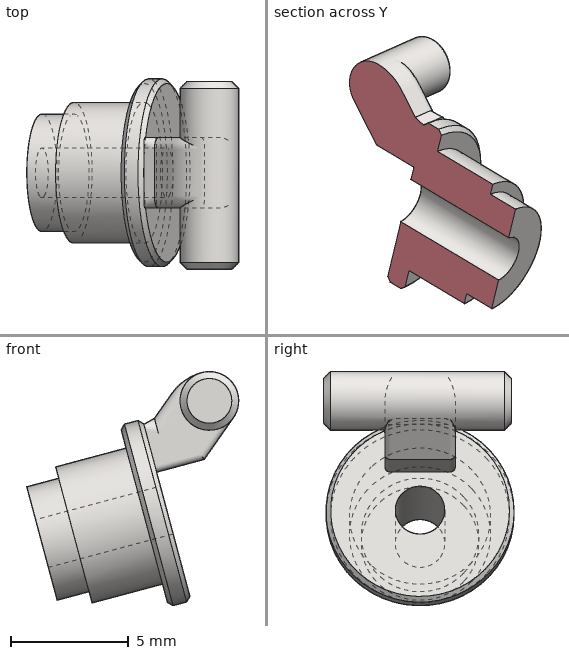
import cadquery as cq
import math

TILT = 15.0
NOSE_DIAMETER = 5.0
BODY_DIAMETER = 6.0
FLANGE_DIAMETER = 8.0
BORE_DIAMETER = 2.1
NOSE_LENGTH = 1.4
BODY_LENGTH = 3.1
FLANGE_THICKNESS = 1.0
FLANGE_CHAMFER = 0.2
FLANGE_FRONT = NOSE_LENGTH + BODY_LENGTH + FLANGE_THICKNESS

PIN_DIAMETER = 2.5
PIN_RADIUS = PIN_DIAMETER / 2
PIN_LENGTH = 8.0
PIN_CHAMFER = 0.3
PIN_SHIFT_Y = -0.11
PIN_X = 8.45
PIN_Z = 4.01

ARM_WIDTH = 3.0
ARM_SLOPE = math.radians(40.0)
ARM_BOTTOM = 1.66
ARM_TOP_FILLET = 0.5
ARM_BOTTOM_FILLET = 0.25

NECK_LENGTH = 0.5
NECK_END = FLANGE_FRONT + NECK_LENGTH
NECK_TOP_AT_ARM = 3.9
NECK_TOP_AT_FLANGE = 3.77
NECK_FLANGE_ROUND = 0.25


def disc(start, length, diameter):
    return cq.Workplane("YZ").workplane(offset=start).circle(diameter / 2).extrude(length)


def make_plug():
    nose = disc(0, NOSE_LENGTH, NOSE_DIAMETER)
    body = disc(NOSE_LENGTH, BODY_LENGTH, BODY_DIAMETER)
    flange_back = NOSE_LENGTH + BODY_LENGTH
    flange = disc(flange_back, FLANGE_THICKNESS, FLANGE_DIAMETER).edges().chamfer(FLANGE_CHAMFER)
    bore = disc(0, FLANGE_FRONT, BORE_DIAMETER)
    return nose.union(body).union(flange).cut(bore)


def make_pin():
    pin = cq.Workplane("XZ").circle(PIN_RADIUS).extrude(PIN_LENGTH)
    return pin.edges().chamfer(PIN_CHAMFER).translate((PIN_X, PIN_LENGTH / 2 + PIN_SHIFT_Y, PIN_Z))


def make_arm():
    touch_x = PIN_X + PIN_RADIUS * math.sin(ARM_SLOPE)
    touch_z = PIN_Z - PIN_RADIUS * math.cos(ARM_SLOPE)
    knee_x = touch_x - (touch_z - ARM_BOTTOM) / math.tan(ARM_SLOPE)

    pin_top = PIN_Z + PIN_RADIUS
    corner_x = NECK_END + (pin_top - NECK_TOP_AT_ARM) / math.tan(ARM_SLOPE)
    bend_radius = (PIN_X - corner_x) / math.tan(ARM_SLOPE / 2)
    bend_z = pin_top - bend_radius

    def bend_point(angle):
        return (PIN_X - bend_radius * math.sin(angle), bend_z + bend_radius * math.cos(angle))

    arm = (
        cq.Workplane("XZ")
        .moveTo(NECK_END, ARM_BOTTOM)
        .lineTo(knee_x, ARM_BOTTOM)
        .lineTo(touch_x, touch_z)
        .lineTo(PIN_X, PIN_Z)
        .lineTo(PIN_X, pin_top)
        .threePointArc(bend_point(ARM_SLOPE / 2), bend_point(ARM_SLOPE))
        .lineTo(NECK_END, NECK_TOP_AT_ARM)
        .close()
        .extrude(ARM_WIDTH / 2, both=True)
    )

    def side_edges_at(x, z):
        near = cq.selectors.NearestToPointSelector
        return arm.edges(near((x, ARM_WIDTH / 2, z))).add(arm.edges(near((x, -ARM_WIDTH / 2, z))))

    slope_start_x, slope_start_z = bend_point(ARM_SLOPE)
    arm = side_edges_at((NECK_END + slope_start_x) / 2, (NECK_TOP_AT_ARM + slope_start_z) / 2).fillet(
        ARM_TOP_FILLET
    )
    lower_edges = side_edges_at((NECK_END + knee_x) / 2, ARM_BOTTOM)
    lower_edges = lower_edges.add(side_edges_at((knee_x + touch_x) / 2, (ARM_BOTTOM + touch_z) / 2))
    return lower_edges.fillet(ARM_BOTTOM_FILLET)


def neck_section(sketch, top, round_width, round_height):
    """Rectangle with circular lower corners and elliptical upper corners."""
    side = ARM_WIDTH / 2
    low = ARM_BOTTOM_FILLET
    flat = side - round_width
    shoulder = top - round_height
    diagonal = math.sqrt(0.5)
    arc_y = flat + round_width * diagonal
    arc_z = shoulder + round_height * diagonal
    low_y = side - low + low * diagonal
    low_z = ARM_BOTTOM + low - low * diagonal
    return (
        sketch.moveTo(-side + low, ARM_BOTTOM)
        .lineTo(side - low, ARM_BOTTOM)
        .threePointArc((low_y, low_z), (side, ARM_BOTTOM + low))
        .lineTo(side, shoulder)
        .threePointArc((arc_y, arc_z), (flat, top))
        .lineTo(-flat, top)
        .threePointArc((-arc_y, arc_z), (-side, shoulder))
        .lineTo(-side, ARM_BOTTOM + low)
        .threePointArc((-low_y, low_z), (-side + low, ARM_BOTTOM))
        .close()
    )


def make_neck():
    flange_plane = cq.Workplane("YZ").workplane(offset=FLANGE_FRONT)
    base = neck_section(flange_plane, NECK_TOP_AT_FLANGE, NECK_FLANGE_ROUND, NECK_FLANGE_ROUND)
    arm_round_height = ARM_TOP_FILLET / math.cos(ARM_SLOPE)
    end_plane = base.workplane(offset=NECK_LENGTH)
    end = neck_section(end_plane, NECK_TOP_AT_ARM, ARM_TOP_FILLET, arm_round_height)
    return end.loft(ruled=True)


upright = make_plug().union(make_neck()).union(make_arm()).union(make_pin())
result = upright.rotate((0, 0, 0), (0, 1, 0), -TILT)